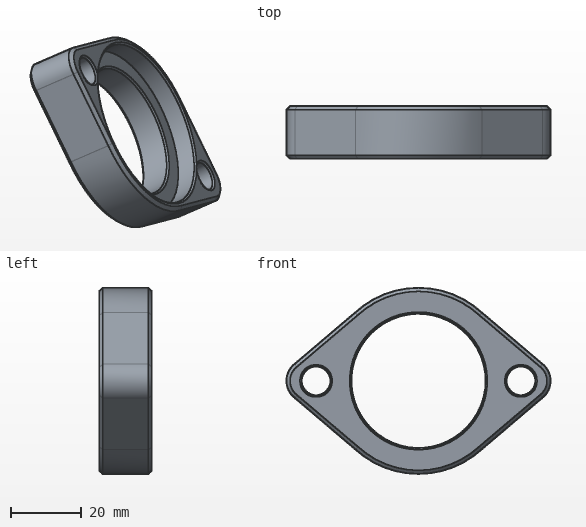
import cadquery as cq

length = 74.95
body_diameter = 52.85
thickness = 15.0
edge_chamfer = 1.05

flank_inner_x = 17.9
flank_outer_x = 35.15
flank_outer_z = 4.8

bore_diameter = 38.0
bore_chamfer = 0.5
counterbore_diameter = 48.1
counterbore_depth = 6.0
counterbore_chamfer = 0.5
bolt_hole_diameter = 8.1
bolt_hole_chamfer = 0.5
bolt_spacing = 58.1

end_x = length / 2
body_radius = body_diameter / 2
flank_inner_z = (body_radius**2 - flank_inner_x**2) ** 0.5


def make_flange():
    """Eared plate centred on the origin, chamfered around both faces."""
    outline = (
        cq.Workplane("XZ")
        .moveTo(-flank_inner_x, flank_inner_z)
        .threePointArc((0, body_radius), (flank_inner_x, flank_inner_z))
        .lineTo(flank_outer_x, flank_outer_z)
        .threePointArc((end_x, 0), (flank_outer_x, -flank_outer_z))
        .lineTo(flank_inner_x, -flank_inner_z)
        .threePointArc((0, -body_radius), (-flank_inner_x, -flank_inner_z))
        .lineTo(-flank_outer_x, -flank_outer_z)
        .threePointArc((-end_x, 0), (-flank_outer_x, flank_outer_z))
        .close()
    )
    plate = outline.extrude(thickness / 2, both=True)
    return plate.faces("<Y or >Y").chamfer(edge_chamfer)


def make_hole_cutter(x, diameter, chamfer, depth):
    """Hole cutter running from the -Y face, flared at both ends to chamfer the rims."""
    radius = diameter / 2
    start = -thickness / 2
    end = start + depth
    profile = (
        cq.Workplane("XY")
        .moveTo(0, start)
        .lineTo(radius + chamfer, start)
        .lineTo(radius, start + chamfer)
        .lineTo(radius, end - chamfer)
        .lineTo(radius + chamfer, end)
        .lineTo(0, end)
        .close()
    )
    cutter = profile.revolve(360, (0, 0, 0), (0, 1, 0))
    return cutter.translate((x, 0, 0))


def make_counterbore_cutter():
    """Recess in the +Y face around the bore, with a chamfered rim."""
    radius = counterbore_diameter / 2
    back = thickness / 2
    floor = back - counterbore_depth
    profile = (
        cq.Workplane("XY")
        .moveTo(0, floor)
        .lineTo(radius, floor)
        .lineTo(radius, back - counterbore_chamfer)
        .lineTo(radius + counterbore_chamfer, back)
        .lineTo(0, back)
        .close()
    )
    return profile.revolve(360, (0, 0, 0), (0, 1, 0))


result = make_flange()
bore_depth = thickness - counterbore_depth
result = result.cut(make_hole_cutter(0, bore_diameter, bore_chamfer, bore_depth))
result = result.cut(make_counterbore_cutter())
for side in (-1, 1):
    bolt_x = side * bolt_spacing / 2
    bolt_hole = make_hole_cutter(bolt_x, bolt_hole_diameter, bolt_hole_chamfer, thickness)
    result = result.cut(bolt_hole)